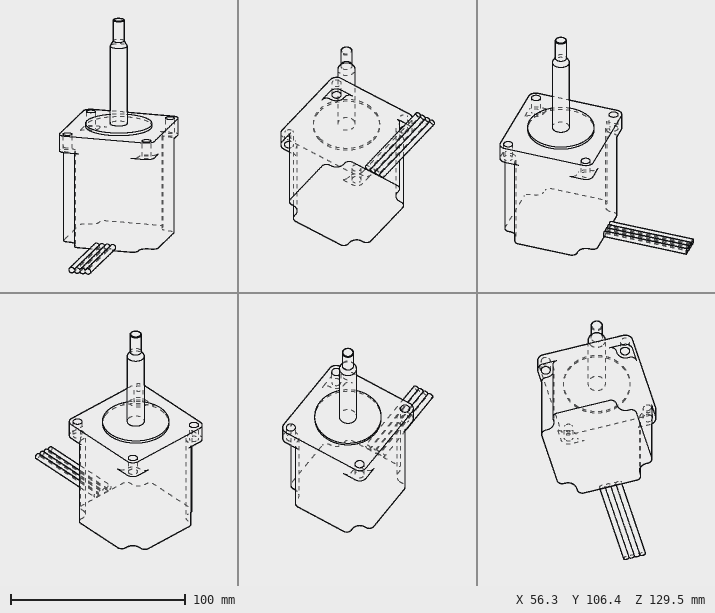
import cadquery as cq
import math

side = 56.3
flange_top = 65.9
flange_thickness = 9.8
body_height = flange_top - flange_thickness
corner_radius = 4.3

hole_diameter = 5.2
hole_spacing = 47.1

relief_radius = 5.0
lobe_radius = 3.1

pilot_diameter = 38.1
pilot_height = 1.5
pilot_top = flange_top + pilot_height

shaft_top = 129.5
shaft_radius = 4.9
shoulder_bottom = 113.7
tip_bottom = 116.8
tip_radius = 3.2
tip_chamfer = 0.4

wire_count = 4
wire_diameter = 3.4
wire_pitch = 3.2
wire_length = 50.1
wire_height = 2.1


def make_corner_relief():
    """Clearance at the (-X, -Y) corner: a concave quarter round with a rounded lobe on each side."""
    edge = -side / 2
    center = edge + corner_radius
    wall = center + relief_radius
    lobe_center = edge + lobe_radius
    face_start = wall + lobe_radius
    diagonal = math.sqrt(0.5)
    relief_mid = center + relief_radius * diagonal
    lobe_near = edge + lobe_radius * (1 - diagonal)
    lobe_far = face_start - lobe_radius * diagonal
    return (
        cq.Workplane("XY")
        .moveTo(edge, edge)
        .lineTo(face_start, edge)
        .threePointArc((lobe_far, lobe_near), (wall, lobe_center))
        .lineTo(wall, center)
        .threePointArc((relief_mid, relief_mid), (center, wall))
        .lineTo(lobe_center, wall)
        .threePointArc((lobe_near, lobe_far), (edge, face_start))
        .close()
        .extrude(body_height)
    )


def make_wire(x):
    """One lead wire running from the housing's front face toward -Y."""
    front_face = cq.Workplane("XZ", origin=(x, -side / 2, wire_height))
    return front_face.circle(wire_diameter / 2).extrude(wire_length)


def make_housing():
    """Housing with flange, pilot, corner reliefs and lead wires."""
    block = cq.Workplane("XY").box(side, side, flange_top, centered=(True, True, False))
    block = block.edges("|Z").fillet(corner_radius)

    relief = make_corner_relief()
    for quarter_turn in range(4):
        block = block.cut(relief.rotate((0, 0, 0), (0, 0, 1), 90 * quarter_turn))

    holes = (
        cq.Workplane("XY")
        .rect(hole_spacing, hole_spacing, forConstruction=True)
        .vertices()
        .circle(hole_diameter / 2)
        .extrude(flange_top)
    )
    block = block.cut(holes)

    pilot = cq.Workplane("XY").workplane(offset=flange_top).circle(pilot_diameter / 2).extrude(pilot_height)
    block = block.union(pilot)

    row_start = -(wire_count - 1) * wire_pitch / 2
    for i in range(wire_count):
        block = block.union(make_wire(row_start + i * wire_pitch))
    return block


def make_shaft():
    """Round shaft with a conical shoulder and a narrower, chamfered tip."""
    return (
        cq.Workplane("XZ")
        .moveTo(0, pilot_top)
        .lineTo(shaft_radius, pilot_top)
        .lineTo(shaft_radius, shoulder_bottom)
        .lineTo(tip_radius, tip_bottom)
        .lineTo(tip_radius, shaft_top - tip_chamfer)
        .lineTo(tip_radius - tip_chamfer, shaft_top)
        .lineTo(0, shaft_top)
        .close()
        .revolve(360, (0, 0, 0), (0, 1, 0))
    )


housing = make_housing()
shaft = make_shaft()

result = cq.Compound.makeCompound([housing.solids().val(), shaft.val()])